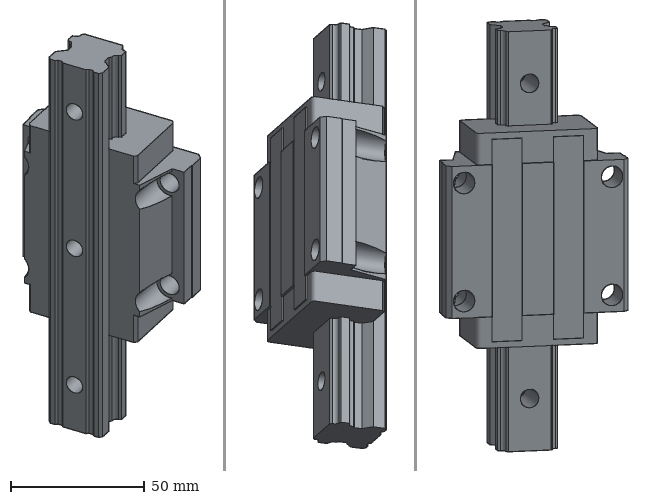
import cadquery as cq


RAIL_LENGTH = 160.0
RAIL_HALF_WIDTH = 11.5
RAIL_HEIGHT = 22.0
RAIL_FOOT_HEIGHT = 5.8
RAIL_FOOT_CHAMFER = 1.1
RAIL_NECK_HALF_WIDTH = 8.0
RAIL_NECK_BOTTOM = 9.0
RAIL_NECK_TOP = 12.0
RAIL_TOP_HALF_WIDTH = 8.2
RAIL_TOP_CHAMFER = 0.8
RAIL_HEAD_BOTTOM = 15.4
RAIL_HEAD_TOP = 18.7
RAIL_LIP_WIDTH = 1.0
RAIL_LIP_HEIGHT = 0.5
GROOVE_HALF_WIDTH = 9.0
UPPER_GROOVE_TOP = 20.8
LOWER_GROOVE_BOTTOM = 12.6
LOWER_GROOVE_SAGITTA = 0.6
UPPER_GROOVE_SAGITTA = 0.5
RELIEF_OUTER = 8.3
RELIEF_INNER = 5.0
RELIEF_DEPTH = 0.8
RAIL_HOLE_DIAMETER = 7.0
RAIL_HOLE_PITCH = 60.0
RAIL_HOLE_COUNT = 3

CARRIAGE_CENTER_Z = 3.2
CARRIAGE_LENGTH = 82.0
BLOCK_LENGTH = 58.0
CARRIAGE_BOTTOM = RAIL_FOOT_HEIGHT
CARRIAGE_TOP = 36.0
FLANGE_HALF_WIDTH = 35.0
FLANGE_BOTTOM = 22.0
FLANGE_CHAMFER = 2.0
FLANGE_STEP_Y = 27.5
FLANGE_STEP = 0.3
SKIRT_TOP_HALF_WIDTH = 29.6
SKIRT_BOTTOM_HALF_WIDTH = 24.8
CAP_HALF_WIDTH = 23.4
CAP_TOP = 35.0
CAP_FILLET = 1.6
CAP_CHAMFER = 1.1
STRIP_INNER = 6.0
STRIP_OUTER = 17.6
STRIP_TOP = 35.5
STRIP_END_INSET = 2.4
MOUNT_HOLE_DIAMETER = 8.2
MOUNT_SPOTFACE_DIAMETER = 11.0
MOUNT_SPACING_X = 57.0
MOUNT_SPACING_Z = 45.0


def extrude_centered(sketch, length, center_z):
    """Extrude a closed XY outline along Z, centered on center_z."""
    return sketch.extrude(length / 2, both=True).translate((0, 0, center_z))


def cylinder_along_y(diameter, x, z, y_start, y_end):
    """Cylinder with its axis along Y."""
    base = cq.Workplane("XZ", origin=(x, y_start, z))
    return base.circle(diameter / 2).extrude(y_start - y_end)


def half_rail():
    """The +X half of the rail, without holes."""
    lip_x = RAIL_HALF_WIDTH - RAIL_LIP_WIDTH
    lower_start = (lip_x, RAIL_HEAD_BOTTOM - RAIL_LIP_HEIGHT)
    lower_end = (GROOVE_HALF_WIDTH, LOWER_GROOVE_BOTTOM)
    upper_start = (lip_x, RAIL_HEAD_TOP + RAIL_LIP_HEIGHT)
    upper_end = (GROOVE_HALF_WIDTH, UPPER_GROOVE_TOP)
    outline = (
        cq.Workplane("XY")
        .moveTo(0, 0)
        .lineTo(RELIEF_INNER, 0)
        .lineTo(RELIEF_INNER + RELIEF_DEPTH, RELIEF_DEPTH)
        .lineTo(RELIEF_OUTER - RELIEF_DEPTH, RELIEF_DEPTH)
        .lineTo(RELIEF_OUTER, 0)
        .lineTo(RAIL_HALF_WIDTH - RAIL_FOOT_CHAMFER, 0)
        .lineTo(RAIL_HALF_WIDTH, RAIL_FOOT_CHAMFER)
        .lineTo(RAIL_HALF_WIDTH, RAIL_FOOT_HEIGHT)
        .lineTo(RAIL_NECK_HALF_WIDTH, RAIL_NECK_BOTTOM)
        .lineTo(RAIL_NECK_HALF_WIDTH, RAIL_NECK_TOP)
        .lineTo(*lower_end)
        .sagittaArc(lower_start, LOWER_GROOVE_SAGITTA)
        .lineTo(RAIL_HALF_WIDTH, RAIL_HEAD_BOTTOM)
        .lineTo(RAIL_HALF_WIDTH, RAIL_HEAD_TOP)
        .lineTo(*upper_start)
        .sagittaArc(upper_end, UPPER_GROOVE_SAGITTA)
        .lineTo(GROOVE_HALF_WIDTH, RAIL_HEIGHT - RAIL_TOP_CHAMFER)
        .lineTo(RAIL_TOP_HALF_WIDTH, RAIL_HEIGHT)
        .lineTo(0, RAIL_HEIGHT)
        .close()
    )
    return extrude_centered(outline, RAIL_LENGTH, 0)


def rail_blank():
    """Full rail section over the whole length, without holes."""
    right_half = half_rail()
    return right_half.union(right_half.mirror("YZ")).clean()


def make_rail():
    """Rail with its row of mounting holes."""
    rail = rail_blank()
    for index in range(RAIL_HOLE_COUNT):
        z = (index - (RAIL_HOLE_COUNT - 1) / 2) * RAIL_HOLE_PITCH
        rail = rail.cut(cylinder_along_y(RAIL_HOLE_DIAMETER, 0, z, 0, RAIL_HEIGHT))
    return rail


def block():
    """Flanged middle block with tapered skirts."""
    right_side = [
        (SKIRT_BOTTOM_HALF_WIDTH, CARRIAGE_BOTTOM),
        (SKIRT_TOP_HALF_WIDTH, FLANGE_BOTTOM),
        (FLANGE_HALF_WIDTH - FLANGE_STEP, FLANGE_BOTTOM),
        (FLANGE_HALF_WIDTH - FLANGE_STEP, FLANGE_STEP_Y),
        (FLANGE_HALF_WIDTH, FLANGE_STEP_Y + FLANGE_STEP),
        (FLANGE_HALF_WIDTH, CARRIAGE_TOP - FLANGE_CHAMFER),
        (FLANGE_HALF_WIDTH - FLANGE_CHAMFER, CARRIAGE_TOP),
    ]
    left_side = [(-x, y) for x, y in reversed(right_side)]
    outline = cq.Workplane("XY").polyline(right_side + left_side).close()
    return extrude_centered(outline, BLOCK_LENGTH, CARRIAGE_CENTER_Z)


def cap_core():
    """Full-length core whose two ends are the end caps."""
    height = CAP_TOP - CARRIAGE_BOTTOM
    middle_y = CARRIAGE_BOTTOM + height / 2
    core = cq.Workplane("XY").box(2 * CAP_HALF_WIDTH, height, CARRIAGE_LENGTH)
    core = core.translate((0, middle_y, CARRIAGE_CENTER_Z))
    core = core.edges("|Z and >Y").fillet(CAP_FILLET)
    return core.edges("|Z and <Y").chamfer(CAP_CHAMFER)


def strip_box(side, y_bottom, y_top, length):
    """Box covering one strip; side is +1 or -1 along X."""
    center_x = side * (STRIP_INNER + STRIP_OUTER) / 2
    center = (center_x, (y_bottom + y_top) / 2, CARRIAGE_CENTER_Z)
    return cq.Workplane("XY").box(STRIP_OUTER - STRIP_INNER, y_top - y_bottom, length).translate(center)


def add_strips(carriage):
    """Sink the strips into the block top and carry them out over the lower caps."""
    strip_length = CARRIAGE_LENGTH - 2 * STRIP_END_INSET
    for side in (-1, 1):
        carriage = carriage.cut(strip_box(side, STRIP_TOP, CARRIAGE_TOP, BLOCK_LENGTH))
        carriage = carriage.union(strip_box(side, CAP_TOP, STRIP_TOP, strip_length))
    return carriage


def cut_mount_holes(carriage):
    """Four flange holes, each spotfaced from below up to the flange underside."""
    for x_side in (-1, 1):
        for z_side in (-1, 1):
            x = x_side * MOUNT_SPACING_X / 2
            z = CARRIAGE_CENTER_Z + z_side * MOUNT_SPACING_Z / 2
            carriage = carriage.cut(cylinder_along_y(MOUNT_HOLE_DIAMETER, x, z, 0, CARRIAGE_TOP))
            carriage = carriage.cut(cylinder_along_y(MOUNT_SPOTFACE_DIAMETER, x, z, 0, FLANGE_BOTTOM))
    return carriage


def make_carriage():
    """Block and end caps as one body, cut out to fit around the rail."""
    carriage = add_strips(block().union(cap_core()))
    carriage = cut_mount_holes(carriage)
    return carriage.cut(rail_blank())


rail = make_rail()
carriage = make_carriage()
result = cq.Compound.makeCompound([rail.solids().val(), carriage.solids().val()])